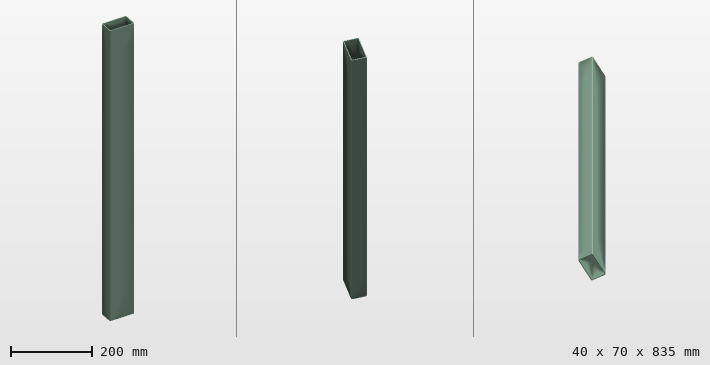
import cadquery as cq

width = 40.0
depth = 70.0
length = 835.0
wall = 2.0
inner_radius = 0.5
outer_radius = inner_radius + wall


def rounded_bar(size_x, size_y, corner_radius):
    """Full-length bar centred on the Z axis with rounded long edges."""
    bar = cq.Workplane("XY").rect(size_x, size_y).extrude(length)
    return bar.edges("|Z").fillet(corner_radius)


outer = rounded_bar(width, depth, outer_radius)
bore = rounded_bar(width - 2 * wall, depth - 2 * wall, inner_radius)

result = outer.cut(bore)